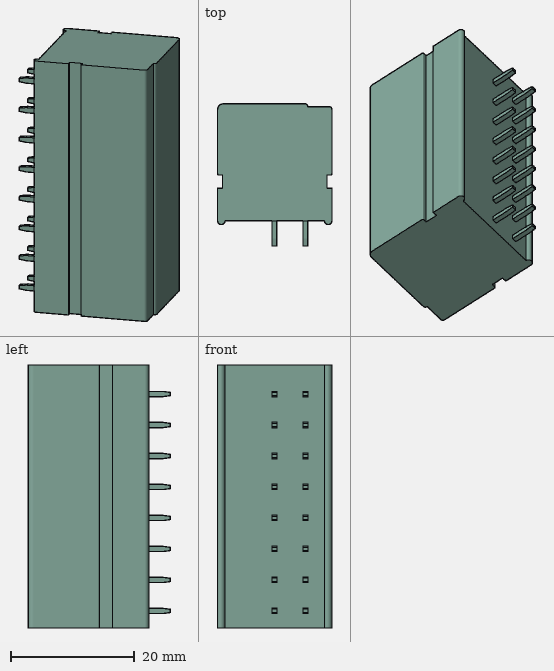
import cadquery as cq

width = 18.5
height = 42.5
rib_diameter = 1.25
rib_radius = rib_diameter / 2
body_depth = 18.9

half_width = width / 2
floor_y = 0.0
back_y = floor_y + body_depth

step_depth = 0.45
step_width = 3.9
large_corner_radius = 0.95
small_corner_radius = 0.42

groove_depth = 0.8
groove_bottom_y = 5.25
groove_width = 2.12
groove_top_y = groove_bottom_y + groove_width
groove_edge_radius = 0.2

pin_columns = 2
pin_rows = 8
pin_row_span = 35.0
pin_pitch = pin_row_span / (pin_rows - 1)
pin_width = 0.8
pin_height = 0.9
pin_length = 4.1
pin_tip_height = 0.55
pin_taper_length = 1.25
first_pin_x = -0.05
lowest_pin_z = 2.75


def make_housing():
    """Extrude the stepped block with two rounded ribs along its front edges."""
    rib_inner_x = half_width - rib_diameter
    rib_center_x = half_width - rib_radius
    step_x = half_width - step_width
    step_y = back_y - step_depth
    profile = (
        cq.Workplane("XY")
        .moveTo(-half_width, floor_y)
        .threePointArc((-rib_center_x, floor_y - rib_radius), (-rib_inner_x, floor_y))
        .lineTo(rib_inner_x, floor_y)
        .threePointArc((rib_center_x, floor_y - rib_radius), (half_width, floor_y))
        .lineTo(half_width, step_y - small_corner_radius)
        .radiusArc((half_width - small_corner_radius, step_y), -small_corner_radius)
        .lineTo(step_x, step_y)
        .lineTo(step_x, back_y - small_corner_radius)
        .radiusArc((step_x - small_corner_radius, back_y), -small_corner_radius)
        .lineTo(-half_width + large_corner_radius, back_y)
        .radiusArc((-half_width, back_y - large_corner_radius), -large_corner_radius)
        .close()
    )
    return profile.extrude(height)


def make_groove(side):
    """Full-height groove in the left (side = -1) or right (side = 1) face."""
    outer_x = side * half_width
    inner_x = side * (half_width - groove_depth)
    rounding_x = side * (half_width - groove_edge_radius)
    return (
        cq.Workplane("XY")
        .moveTo(outer_x, groove_bottom_y)
        .lineTo(inner_x, groove_bottom_y)
        .lineTo(inner_x, groove_top_y)
        .lineTo(rounding_x, groove_top_y)
        .radiusArc((outer_x, groove_top_y + groove_edge_radius), -side * groove_edge_radius)
        .close()
        .extrude(height)
    )


def make_pin(x, z):
    """Rectangular pin pointing toward -Y, its top and bottom faces tapering at the tip."""
    tip_y = floor_y - pin_length
    taper_y = tip_y + pin_taper_length
    half_height = pin_height / 2
    half_tip = pin_tip_height / 2
    side_outline = [
        (floor_y, z - half_height),
        (taper_y, z - half_height),
        (tip_y, z - half_tip),
        (tip_y, z + half_tip),
        (taper_y, z + half_height),
        (floor_y, z + half_height),
    ]
    return (
        cq.Workplane("YZ", origin=(x, 0, 0))
        .polyline(side_outline)
        .close()
        .extrude(pin_width / 2, both=True)
    )


result = make_housing()
for side in (-1, 1):
    result = result.cut(make_groove(side))
for column in range(pin_columns):
    for row in range(pin_rows):
        pin_x = first_pin_x + column * pin_pitch
        pin_z = lowest_pin_z + row * pin_pitch
        result = result.union(make_pin(pin_x, pin_z))